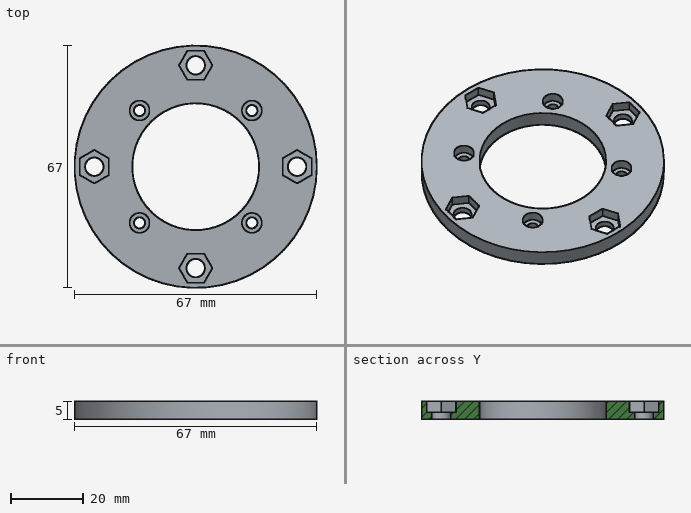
import cadquery as cq

outer_diameter = 67.0
bore_diameter = 35.0
thickness = 5.0

bolt_circle_radius = 28.0
bolt_hole_diameter = 5.0
nut_corner_diameter = 9.25
nut_pocket_depth = 3.0

screw_spacing = 31.0
screw_hole_diameter = 3.0
screw_head_diameter = 5.5
screw_head_depth = 3.0


def ring_plate():
    return (
        cq.Workplane("XY")
        .circle(outer_diameter / 2)
        .circle(bore_diameter / 2)
        .extrude(thickness)
    )


def cut_nut_holes(plate):
    """Cut four bolt holes whose nut pockets have flats facing the plate centre."""
    top_plane = cq.Workplane("XY").workplane(offset=thickness)
    hole = top_plane.circle(bolt_hole_diameter / 2).extrude(-thickness)
    pocket = top_plane.polygon(6, nut_corner_diameter).extrude(-nut_pocket_depth)
    cutter = hole.union(pocket).translate((0, bolt_circle_radius, 0))
    for angle in (0, 90, 180, 270):
        plate = plate.cut(cutter.rotate((0, 0, 0), (0, 0, 1), angle))
    return plate


def cut_screw_holes(plate):
    return (
        plate.faces(">Z")
        .workplane(origin=(0, 0, thickness))
        .rect(screw_spacing, screw_spacing, forConstruction=True)
        .vertices()
        .cboreHole(screw_hole_diameter, screw_head_diameter, screw_head_depth)
    )


result = cut_screw_holes(cut_nut_holes(ring_plate()))